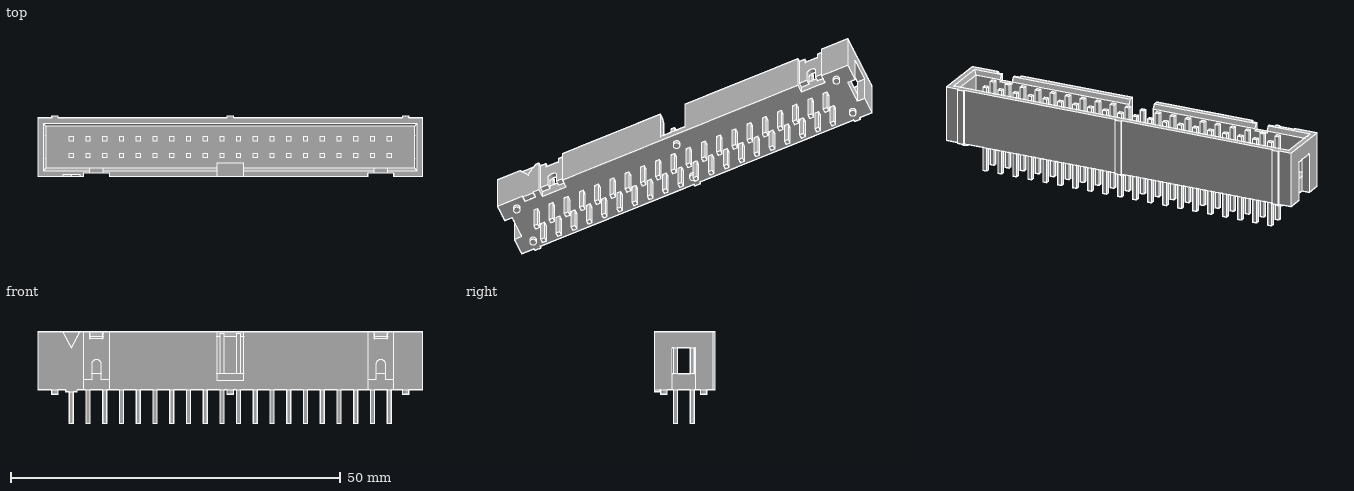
import cadquery as cq

length = 58.4
depth = 8.95
height = 8.8
floor_z = 2.45
end_wall = 1.2
side_wall = 1.3
lead_in = 0.4
lead_in_height = 0.7

pin_count = 20
row_length = 48.25
pin_pitch = row_length / (pin_count - 1)
pin_size = 0.65
pin_top_z = 8.6
pin_tail = 5.15

end_slot_width = 3.5
end_slot_top_z = 6.35

key_width = 4.1
key_depth = 2.1
key_floor_z = 1.4

pocket_width = 3.9
pocket_depth = 0.5
latch_notch_width = 2.05
latch_notch_depth = 1.05
foot_recess_height = 1.6
arch_width = 1.4
arch_top_z = 4.6

rib_width = 1.0
rib_depth = 0.3
standoff_diameter = 1.0
standoff_height = 0.7
standoff_span = 53.25
standoff_inset = 1.45

arrow_width = 2.55
arrow_height = 2.45
arrow_depth = 0.3
foot_mark_width = 1.75
foot_mark_depth = 0.8
foot_mark_height = 0.3

front_y = -depth / 2
back_y = depth / 2
first_pin_x = -row_length / 2
last_pin_x = -first_pin_x
pocket_xs = (first_pin_x + 1.5 * pin_pitch, last_pin_x - 0.5 * pin_pitch)
outer_xs = (-standoff_span / 2, 0, standoff_span / 2)


def box(x_centre, width, y_min, y_max, z_min, z_max):
    """Box centred on x_centre in X, between the given Y and Z limits."""
    size_y = y_max - y_min
    size_z = z_max - z_min
    corner = (x_centre - width / 2, y_min, z_min)
    return cq.Workplane("XY").box(width, size_y, size_z, centered=False).translate(corner)


def make_shell():
    """Open-topped box with a sloped lip around the mouth."""
    inner_length = length - 2 * end_wall
    inner_depth = depth - 2 * side_wall
    shell = box(0, length, front_y, back_y, 0, height)
    cavity = box(0, inner_length, -inner_depth / 2, inner_depth / 2, floor_z, height)
    mouth = (
        cq.Workplane("XY")
        .workplane(offset=height - lead_in_height)
        .rect(inner_length, inner_depth)
        .workplane(offset=lead_in_height)
        .rect(inner_length + 2 * lead_in, inner_depth + 2 * lead_in)
        .loft(ruled=True)
    )
    return shell.cut(cavity).cut(mouth)


def make_end_slot(side):
    """Slot through one end wall; side is -1 or 1."""
    slot_x = side * (length - end_wall) / 2
    slot_min_y = -end_slot_width / 2
    return box(slot_x, end_wall, slot_min_y, slot_min_y + end_slot_width, 0, end_slot_top_z)


def make_latch_pocket(x):
    """Shallow pocket with a top notch, a deeper foot recess and an arched window."""
    wall_inner_y = front_y + side_wall
    arch_radius = arch_width / 2
    arch_centre_z = arch_top_z - arch_radius
    pocket = box(x, pocket_width, front_y, front_y + pocket_depth, 0, height)
    notch = box(x, latch_notch_width, front_y, wall_inner_y, height - latch_notch_depth, height)
    foot = box(x, pocket_width, front_y, wall_inner_y, 0, foot_recess_height)
    window = (
        cq.Workplane("XZ", origin=(x, front_y, 0))
        .moveTo(-arch_radius, 0)
        .lineTo(arch_radius, 0)
        .lineTo(arch_radius, arch_centre_z)
        .threePointArc((0, arch_top_z), (-arch_radius, arch_centre_z))
        .close()
        .extrude(-side_wall)
    )
    return pocket.union(notch).union(foot).union(window)


def make_arrow():
    """Sunk triangle at the top of the front wall, pointing down at pin 1."""
    half_width = arrow_width / 2
    return (
        cq.Workplane("XZ", origin=(first_pin_x, front_y, height))
        .polyline([(-half_width, 0), (half_width, 0), (0, -arrow_height)])
        .close()
        .extrude(-arrow_depth)
    )


def make_pins():
    rows = cq.Workplane("XY", origin=(0, 0, -pin_tail))
    return (
        rows.rarray(pin_pitch, pin_pitch, pin_count, 2)
        .rect(pin_size, pin_size)
        .extrude(pin_tail + pin_top_z)
    )


def make_standoffs():
    """Round feet in facing pairs: at both ends and at mid-length."""
    points = []
    for x in outer_xs:
        for side in (-1, 1):
            points.append((x, side * (depth / 2 - standoff_inset)))
    return cq.Workplane("XY").pushPoints(points).circle(standoff_diameter / 2).extrude(-standoff_height)


result = make_shell()

for end in (-1, 1):
    result = result.cut(make_end_slot(end))
for pocket_x in pocket_xs:
    result = result.cut(make_latch_pocket(pocket_x))
result = result.cut(box(0, key_width, front_y, front_y + key_depth, key_floor_z, height))
result = result.cut(make_arrow())

for rib_x in outer_xs:
    result = result.union(box(rib_x, rib_width, back_y, back_y + rib_depth, 0, height))
result = result.union(make_standoffs())
foot_mark_back_y = front_y + foot_mark_depth
result = result.union(box(first_pin_x, foot_mark_width, front_y, foot_mark_back_y, -foot_mark_height, 0))
result = result.union(make_pins())